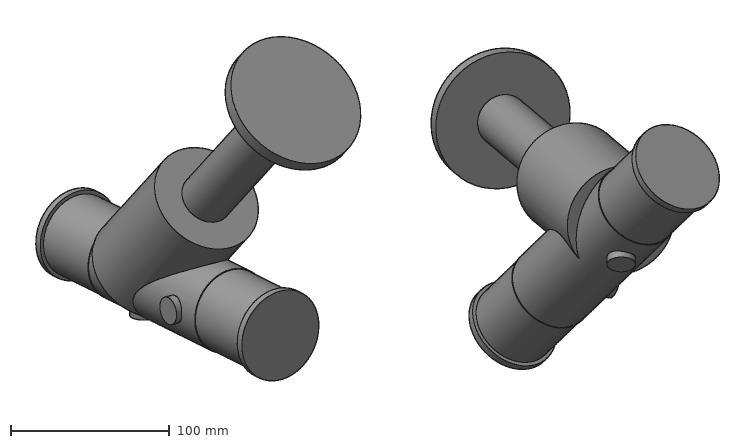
import cadquery as cq
import math

PIPE_LENGTH = 222.0
PIPE_DIAMETER = 55.0
END_RING_DIAMETER = 60.0
END_RING_THICKNESS = 5.0
BODY_LENGTH = 115.0
BODY_DIAMETER = 56.0

BRANCH_ANGLE = 45.0
BRANCH_X = -36.5
BONNET_DIAMETER = 72.0
BONNET_START = 1.0
BONNET_END = 96.0
STEM_DIAMETER = 34.0
WHEEL_DIAMETER = 90.0
WHEEL_THICKNESS = 9.0

PLUG_DIAMETER = 18.0
PLUG_REACH = 32.0
BOTTOM_PLUG_X = -36.0
SIDE_PLUG_X = 34.5

OVERALL_X = 270.5
angle = math.radians(BRANCH_ANGLE)
wheel_rim_x = OVERALL_X - PIPE_LENGTH / 2
wheel_face_x = wheel_rim_x - WHEEL_DIAMETER / 2 * math.sin(angle)
WHEEL_END = (wheel_face_x - BRANCH_X) / math.cos(angle)
WHEEL_START = WHEEL_END - WHEEL_THICKNESS


def cylinder(start, direction, diameter, length):
    """Solid cylinder growing from a start point along a direction."""
    return cq.Workplane(
        cq.Solid.makeCylinder(diameter / 2, length, cq.Vector(*start), cq.Vector(*direction))
    )


def run_pipe():
    """Pipe with a thicker middle body and a ring at each end."""
    def section(start_x, diameter, length):
        return cylinder((start_x, 0, 0), (1, 0, 0), diameter, length)

    pipe = section(-PIPE_LENGTH / 2, PIPE_DIAMETER, PIPE_LENGTH)
    pipe = pipe.union(section(-BODY_LENGTH / 2, BODY_DIAMETER, BODY_LENGTH))
    for ring_x in (-PIPE_LENGTH / 2, PIPE_LENGTH / 2 - END_RING_THICKNESS):
        pipe = pipe.union(section(ring_x, END_RING_DIAMETER, END_RING_THICKNESS))
    return pipe


def branch():
    """Bonnet, stem and handwheel stacked along the inclined axis."""
    direction = (math.cos(angle), 0, math.sin(angle))

    def section(start, end, diameter):
        origin = (BRANCH_X + start * direction[0], 0, start * direction[2])
        return cylinder(origin, direction, diameter, end - start)

    bonnet = section(BONNET_START, BONNET_END, BONNET_DIAMETER)
    stem = section(BONNET_END, WHEEL_START, STEM_DIAMETER)
    wheel = section(WHEEL_START, WHEEL_END, WHEEL_DIAMETER)
    return bonnet.union(stem).union(wheel)


def plug(plug_x, direction):
    """Round plug running from the pipe axis out through the body wall."""
    return cylinder((plug_x, 0, 0), direction, PLUG_DIAMETER, PLUG_REACH)


bottom_plug = plug(BOTTOM_PLUG_X, (0, 0, -1))
side_plug = plug(SIDE_PLUG_X, (0, -1, 0))
result = run_pipe().union(branch()).union(bottom_plug).union(side_plug)